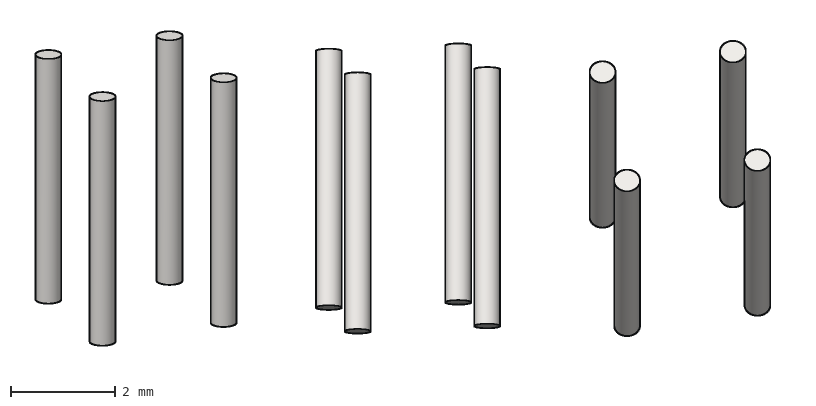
import cadquery as cq

pin_diameter = 0.5
pin_length = 5.0
pin_pitch = 2.54
pins_per_side = 2

grid_start = -pin_pitch * (pins_per_side - 1) / 2


def make_pin(x, y):
    """Plain round pin standing upright on the XY plane at (x, y)."""
    return cq.Workplane("XY").center(x, y).circle(pin_diameter / 2).extrude(pin_length)


pins = []
for column in range(pins_per_side):
    for row in range(pins_per_side):
        pin = make_pin(grid_start + column * pin_pitch, grid_start + row * pin_pitch)
        pins.append(pin.val())

result = cq.Compound.makeCompound([*pins])